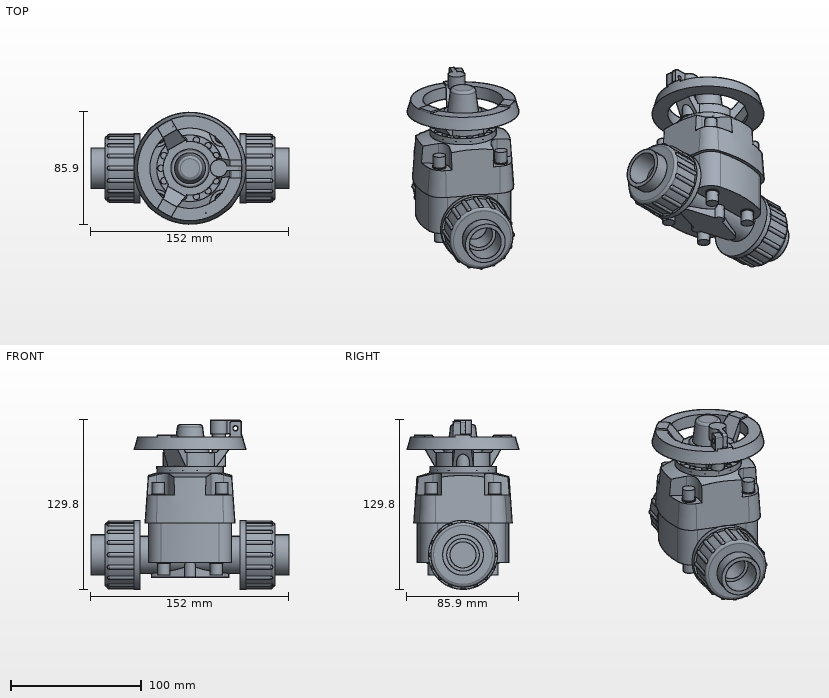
import cadquery as cq
import math


overall_length = 152.0
spigot_diameter = 31.23
socket_diameter = 25.0
socket_depth = 19.0
bore_diameter = 20.0
bore_floor_x = 38.0
pipe_diameter = 28.9

nut_flange_diameter = 53.0
nut_flange_inner_x = 38.2
nut_flange_outer_x = 42.8
nut_diameter = 49.47
nut_outer_x = 65.2
nut_end_round = 2.2
nut_rib_count = 16
nut_rib_diameter = 3.58
nut_rib_height = 1.33
nut_rib_end_x = 61.7

body_half_length = 31.9
body_half_width = 35.3
body_flat_half = 19.7
body_corner_radius = 13.16
body_bottom_z = -5.9
bonnet_bottom_z = 24.4
bonnet_half_length = 34.5
bonnet_half_width = 37.8
bonnet_flat_half = 21.26
bonnet_corner_radius = 13.0
bonnet_draft = 4.0
bonnet_top_z = 62.8
bonnet_roof_slope = 0.3

pocket_floor_z = 45.8
pocket_radius = 10.0
pocket_centre_x = 25.5
pocket_centre_y = 26.4
pocket_wall_angle = 18.8
bolt_diameter = 9.48
bolt_collar_diameter = 10.43
bolt_collar_height = 0.9
bolt_length = 9.7
upper_bolt_x = 24.2
upper_bolt_y = 24.2
lower_bolt_x = 20.2
lower_bolt_y = 22.25

foot_bottom_z = -17.2
foot_end_radius = 4.3
foot_end_x = 25.4
foot_apex_y = 12.2
foot_post_radius = 4.35
foot_post_y = 10.9

disc_radius = 25.5
disc_top_z = 67.8
disc_hole_count = 14
disc_hole_diameter = 5.0
disc_hole_circle_radius = 22.15
disc_hole_depth = 3.0
hub_radius = 20.6
hub_top_z = 78.4
collar_diameter = 29.44
collar_top_z = 81.7
collar_round = 0.9
stem_base_radius = 11.85
stem_top_radius = 9.45
stem_top_z = 99.9
stem_round = 2.4

wheel_radius = 42.93
wheel_rim_top_radius = 40.2
wheel_inner_radius = 30.75
wheel_bottom_z = 80.7
wheel_top_z = 90.4
arm_top_z = 91.8
arm_angles = (0, 120, 240)
arm_root = 20.4
arm_top_knee = 30.8
arm_bottom_knee = 29.8
arm_root_half_width = 7.95
arm_rim_half_width = 6.2

pin_x = 22.1
pin_diameter = 10.24
pin_head_diameter = 13.1
pin_head_bottom_z = 92.7
pin_head_top_z = 103.3
tab_end_x = 39.4
tab_half_thickness = 1.8
tab_round = 2.0
lug_start_x = 30.8
lug_end_x = 39.3
lug_outer_y = -7.6
lug_top_z = 102.1
lug_round = 0.9
lock_hole_x = 34.8
lock_hole_z = 97.0
lug_hole_diameter = 4.09
tab_hole_diameter = 3.58


def cylinder(radius, bottom_z, top_z, x=0.0, y=0.0):
    """Vertical cylinder between two heights."""
    return cq.Workplane("XY", origin=(x, y, bottom_z)).circle(radius).extrude(top_z - bottom_z)


def cylinder_along_x(radius, start_x, end_x):
    """Cylinder on the flow axis."""
    return cq.Workplane("YZ", origin=(start_x, 0, 0)).circle(radius).extrude(end_x - start_x)


def four_corners(shape):
    """The shape and its mirror images in the XZ and YZ planes."""
    pair = shape.union(shape.mirror("XZ"))
    return pair.union(pair.mirror("YZ"))


def bulged_outline(bottom_z, half_length, half_width, flat_half, corner_radius):
    """Closed outline with flat ends at +-X and tangent arcs bulging towards +-Y."""
    corner_x = half_length - corner_radius
    drop = flat_half - half_width
    bulge_radius = (corner_radius**2 - corner_x**2 - drop**2) / (2 * (drop + corner_radius))
    bulge_centre_y = half_width - bulge_radius
    tangent = math.atan2(flat_half - bulge_centre_y, corner_x)
    middle = tangent / 2
    join_x = corner_x + corner_radius * math.cos(tangent)
    join_y = flat_half + corner_radius * math.sin(tangent)
    mid_x = corner_x + corner_radius * math.cos(middle)
    mid_y = flat_half + corner_radius * math.sin(middle)
    return (
        cq.Workplane("XY", origin=(0, 0, bottom_z))
        .moveTo(half_length, -flat_half)
        .lineTo(half_length, flat_half)
        .threePointArc((mid_x, mid_y), (join_x, join_y))
        .threePointArc((0, half_width), (-join_x, join_y))
        .threePointArc((-mid_x, mid_y), (-half_length, flat_half))
        .lineTo(-half_length, -flat_half)
        .threePointArc((-mid_x, -mid_y), (-join_x, -join_y))
        .threePointArc((0, -half_width), (join_x, -join_y))
        .threePointArc((mid_x, -mid_y), (half_length, -flat_half))
        .close()
    )


def union_nut():
    """Ribbed union nut at the +X end."""
    nut_radius = nut_diameter / 2
    nut = cylinder_along_x(nut_radius, nut_flange_inner_x, nut_outer_x)
    nut = nut.faces(">X").edges().fillet(nut_end_round)
    nut = nut.union(cylinder_along_x(nut_flange_diameter / 2, nut_flange_inner_x, nut_flange_outer_x))

    rib_radius = nut_rib_diameter / 2
    rib_centre_radius = nut_radius + nut_rib_height - rib_radius
    rib = cylinder_along_x(rib_radius, nut_flange_outer_x, nut_rib_end_x)
    rib = rib.union(cq.Workplane("XY", origin=(nut_rib_end_x, 0, 0)).sphere(rib_radius))
    rib = rib.translate((0, rib_centre_radius, 0))
    for index in range(nut_rib_count):
        nut = nut.union(rib.rotate((0, 0, 0), (1, 0, 0), index * 360 / nut_rib_count))
    return nut


def pipe_and_nuts():
    """Straight pipe with a spigot and union nut at each end."""
    half = overall_length / 2
    pipe = cylinder_along_x(pipe_diameter / 2, -half, half)
    end = cylinder_along_x(spigot_diameter / 2, nut_flange_outer_x, half).union(union_nut())
    return pipe.union(end).union(end.mirror("YZ"))


def end_bores():
    """Pipe socket and narrower blind bore at both ends."""
    half = overall_length / 2
    bore = cylinder_along_x(bore_diameter / 2, bore_floor_x, half)
    bore = bore.union(cylinder_along_x(socket_diameter / 2, half - socket_depth, half))
    return bore.union(bore.mirror("YZ"))


def corner_pocket():
    """Cutter for the bolt pocket at the (+X, +Y) corner, open at the top and outwards."""
    wall = math.radians(pocket_wall_angle)
    reach = bonnet_half_width
    wall_start = (
        pocket_centre_x - pocket_radius * math.cos(wall),
        pocket_centre_y - pocket_radius * math.sin(wall),
    )
    wall_end_x = wall_start[0] - (reach - wall_start[1]) * math.tan(wall)
    halfway = (wall + math.pi / 2) / 2
    arc_middle = (
        pocket_centre_x - pocket_radius * math.cos(halfway),
        pocket_centre_y - pocket_radius * math.sin(halfway),
    )
    return (
        cq.Workplane("XY", origin=(0, 0, pocket_floor_z))
        .moveTo(reach, reach)
        .lineTo(wall_end_x, reach)
        .lineTo(*wall_start)
        .threePointArc(arc_middle, (pocket_centre_x, pocket_centre_y - pocket_radius))
        .lineTo(reach, pocket_centre_y - pocket_radius)
        .close()
        .extrude(bonnet_top_z - pocket_floor_z)
    )


def body():
    """Straight-sided body block between the pipe ends."""
    outline = bulged_outline(
        body_bottom_z, body_half_length, body_half_width, body_flat_half, body_corner_radius
    )
    return outline.extrude(bonnet_bottom_z - body_bottom_z)


def bonnet():
    """Drafted bonnet with a conical roof and a pocket at each corner."""
    block = bulged_outline(
        bonnet_bottom_z, bonnet_half_length, bonnet_half_width, bonnet_flat_half, bonnet_corner_radius
    ).extrude(bonnet_top_z - bonnet_bottom_z, taper=bonnet_draft)
    eaves_radius = bonnet_half_length + bonnet_half_width
    eaves_z = bonnet_top_z - bonnet_roof_slope * (eaves_radius - disc_radius)
    roof = (
        cq.Workplane("XZ")
        .polyline(
            [
                (0, bonnet_bottom_z),
                (eaves_radius, bonnet_bottom_z),
                (eaves_radius, eaves_z),
                (disc_radius, bonnet_top_z),
                (0, bonnet_top_z),
            ]
        )
        .close()
        .revolve(360, (0, 0, 0), (0, 1, 0))
    )
    return block.intersect(roof).cut(four_corners(corner_pocket()))


def bolts():
    """Round bolt heads in the pockets and nuts under the body, each on a thin collar."""
    bolt_radius = bolt_diameter / 2
    collar_radius = bolt_collar_diameter / 2
    upper_end_z = pocket_floor_z + bolt_length
    upper_collar_z = pocket_floor_z + bolt_collar_height
    lower_end_z = body_bottom_z - bolt_length
    lower_collar_z = body_bottom_z - bolt_collar_height
    upper = cylinder(bolt_radius, pocket_floor_z, upper_end_z, upper_bolt_x, upper_bolt_y)
    upper = upper.union(cylinder(collar_radius, pocket_floor_z, upper_collar_z, upper_bolt_x, upper_bolt_y))
    lower = cylinder(bolt_radius, lower_end_z, body_bottom_z, lower_bolt_x, lower_bolt_y)
    lower = lower.union(cylinder(collar_radius, lower_collar_z, body_bottom_z, lower_bolt_x, lower_bolt_y))
    return four_corners(upper).union(four_corners(lower))


def mounting_foot():
    """Diamond-shaped web with rounded ends and a round post on each side."""
    apex_distance = math.hypot(foot_end_x, foot_apex_y)
    normal = math.atan2(foot_apex_y, -foot_end_x) - math.acos(foot_end_radius / apex_distance)
    tangent_x = foot_end_x + foot_end_radius * math.cos(normal)
    tangent_y = foot_end_radius * math.sin(normal)
    end_x = foot_end_x + foot_end_radius
    foot = (
        cq.Workplane("XY", origin=(0, 0, foot_bottom_z))
        .moveTo(0, foot_apex_y)
        .lineTo(tangent_x, tangent_y)
        .threePointArc((end_x, 0), (tangent_x, -tangent_y))
        .lineTo(0, -foot_apex_y)
        .lineTo(-tangent_x, -tangent_y)
        .threePointArc((-end_x, 0), (-tangent_x, tangent_y))
        .close()
        .extrude(-foot_bottom_z)
    )
    for side in (-1, 1):
        foot = foot.union(cylinder(foot_post_radius, foot_bottom_z, body_bottom_z, 0, side * foot_post_y))
    return foot


def index_disc():
    """Disc on the bonnet with a ring of blind locking holes."""
    disc = cylinder(disc_radius, bonnet_top_z, disc_top_z)
    return (
        disc.faces(">Z")
        .workplane()
        .polarArray(disc_hole_circle_radius, 0, 360, disc_hole_count)
        .hole(disc_hole_diameter, disc_hole_depth)
    )


def hub_and_stem():
    """Handwheel hub with a rounded collar and the tapered stem cap."""
    hub = cylinder(hub_radius, disc_top_z, hub_top_z)
    collar = cylinder(collar_diameter / 2, hub_top_z, collar_top_z).faces(">Z").edges().fillet(collar_round)
    stem = (
        cq.Workplane("XY", origin=(0, 0, collar_top_z))
        .circle(stem_base_radius)
        .workplane(offset=stem_top_z - collar_top_z)
        .circle(stem_top_radius)
        .loft()
    )
    stem = stem.faces(">Z").edges().fillet(stem_round)
    return hub.union(collar).union(stem)


def wheel_cone(top_z):
    """Solid cone of the wheel's outer surface, from the disc to the given height."""
    slope = (wheel_radius - wheel_rim_top_radius) / (wheel_top_z - wheel_bottom_z)
    return (
        cq.Workplane("XZ")
        .polyline(
            [
                (0, disc_top_z),
                (wheel_radius, disc_top_z),
                (wheel_radius, wheel_bottom_z),
                (wheel_radius - slope * (top_z - wheel_bottom_z), top_z),
                (0, top_z),
            ]
        )
        .close()
        .revolve(360, (0, 0, 0), (0, 1, 0))
    )


def wheel_arm():
    """Inclined arm along +X, narrowing from the hub to the rim and flush with the outer cone."""
    profile = (
        cq.Workplane("XZ", origin=(0, wheel_radius, 0))
        .polyline(
            [
                (0, disc_top_z),
                (arm_root, disc_top_z),
                (arm_bottom_knee, wheel_bottom_z),
                (wheel_radius, wheel_bottom_z),
                (wheel_radius, arm_top_z),
                (arm_top_knee, arm_top_z),
                (arm_root, hub_top_z),
                (0, hub_top_z),
            ]
        )
        .close()
        .extrude(2 * wheel_radius)
    )
    narrowing = (arm_root_half_width - arm_rim_half_width) / (arm_top_knee - arm_root)
    axis_half_width = arm_root_half_width + narrowing * arm_root
    plan = (
        cq.Workplane("XY", origin=(0, 0, disc_top_z))
        .polyline(
            [
                (0, -axis_half_width),
                (arm_top_knee, -arm_rim_half_width),
                (wheel_radius, -arm_rim_half_width),
                (wheel_radius, arm_rim_half_width),
                (arm_top_knee, arm_rim_half_width),
                (0, axis_half_width),
            ]
        )
        .close()
        .extrude(arm_top_z - disc_top_z)
    )
    return profile.intersect(plan).intersect(wheel_cone(arm_top_z))


def handwheel():
    """Conical rim carried by three arms."""
    wheel = wheel_cone(wheel_top_z)
    wheel = wheel.cut(cylinder(2 * wheel_radius, disc_top_z, wheel_bottom_z))
    wheel = wheel.cut(cylinder(wheel_inner_radius, wheel_bottom_z, wheel_top_z))
    for angle in arm_angles:
        wheel = wheel.union(wheel_arm().rotate((0, 0, 0), (0, 0, 1), angle))
    return wheel


def padlock_fitting():
    """Locking pin with a flat tab, and the drilled lug beside it for a padlock."""
    pin = cylinder(pin_diameter / 2, disc_top_z, pin_head_bottom_z, pin_x)
    pin = pin.union(cylinder(pin_head_diameter / 2, pin_head_bottom_z, pin_head_top_z, pin_x))
    tab = (
        cq.Workplane("XY", origin=(pin_x, 0, pin_head_bottom_z))
        .box(
            tab_end_x - pin_x,
            2 * tab_half_thickness,
            pin_head_top_z - pin_head_bottom_z,
            centered=(False, True, False),
        )
        .edges(">X and >Z")
        .fillet(tab_round)
    )
    lug = (
        cq.Workplane("XY", origin=(lug_start_x, lug_outer_y, wheel_bottom_z))
        .box(
            lug_end_x - lug_start_x,
            -tab_half_thickness - lug_outer_y,
            lug_top_z - wheel_bottom_z,
            centered=False,
        )
        .faces(">Z")
        .edges("|Y")
        .fillet(lug_round)
    )
    tab_hole = (
        cq.Workplane("XZ", origin=(lock_hole_x, tab_half_thickness, lock_hole_z))
        .circle(tab_hole_diameter / 2)
        .extrude(2 * tab_half_thickness)
    )
    lug_hole = (
        cq.Workplane("XZ", origin=(lock_hole_x, -tab_half_thickness, lock_hole_z))
        .circle(lug_hole_diameter / 2)
        .extrude(-tab_half_thickness - lug_outer_y)
    )
    return pin.union(tab.cut(tab_hole)).union(lug.cut(lug_hole))


result = (
    pipe_and_nuts()
    .union(body())
    .union(mounting_foot())
    .union(bonnet())
    .union(bolts())
    .cut(end_bores())
    .union(index_disc())
    .union(hub_and_stem())
    .union(handwheel())
    .union(padlock_fitting())
)